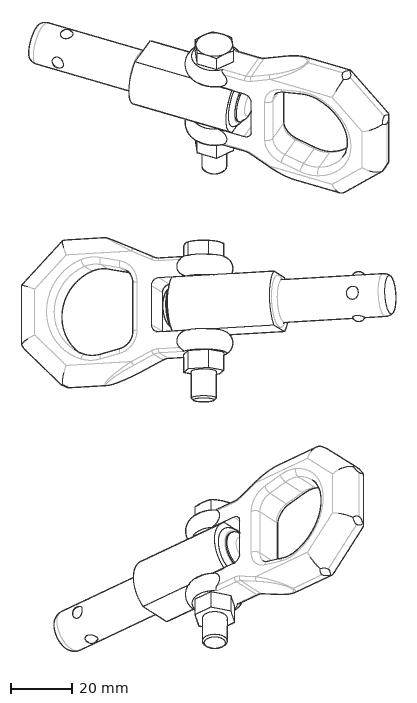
import cadquery as cq
import math

PIN_TIP_X = -63.6
SHANK_RADIUS = 7.0
TIP_ROUND_LENGTH = 2.0
TIP_ROUND_DEPTH = 0.8
BLOCK_START_X = -25.7
BLOCK_END_X = 9.0
BLOCK_DIAMETER = 21.5
BLOCK_HEIGHT = 18.0
BLOCK_HALF_HEIGHT = BLOCK_HEIGHT / 2
NECK_FILLET = 1.5
BALL_X = -52.8
BALL_RADIUS = 2.3
BALL_CENTRE_RADIUS = 6.0
COLLAR_RADIUS = 8.8
COLLAR_FACE_RADIUS = 7.2
COLLAR_LENGTH = 1.4
COLLAR_ROUND = 2.0
BUTTON_RADIUS = 6.7
BUTTON_RIM_LENGTH = 0.5
BUTTON_FACE_RADIUS = 4.1
BUTTON_DOME_LENGTH = 1.8
BUTTON_DOME_RADIUS = 3.8

PLATE_HALF_THICKNESS = 6.1
RING_CENTRE_X = 37.4
RING_APOTHEM = 24.5
RING_CREST_WIDTH = 0.03
RING_EDGE_ROUND = PLATE_HALF_THICKNESS - RING_CREST_WIDTH / 2
RING_HALF_SIDE = RING_APOTHEM * math.tan(math.pi / 8)
RING_CORNER_X = RING_CENTRE_X + RING_HALF_SIDE
RING_END_X = RING_CENTRE_X + RING_APOTHEM
RING_CORNER_CLIP = 1.5
EYE_HEIGHT = 6.8
ARM_HALF_HEIGHT = BLOCK_HALF_HEIGHT + EYE_HEIGHT
FLANK_START_X = 14.5
FLANK_ANGLE = math.radians(25)
FLANK_FILLET = 4.4
ARM_EDGE_FILLET = 1.1
SLOT_END_X = 16.0
SLOT_CORNER_RADIUS = 2.5

OPENING_WALL_X = 22.8
OPENING_CORNER_Z = 12.4
OPENING_ARC_CENTRE_X = 34.3
OPENING_ARC_RADIUS = 15.4
CROWN_X = 35.9
OPENING_CORNER_RADIUS = 5.5
CROWN_RADIUS = 10.0
OPENING_EDGE_FILLET = 2.0
OPENING_END_X = OPENING_ARC_CENTRE_X + OPENING_ARC_RADIUS

EYE_FACE_RADIUS = 7.4
EYE_BULGE_RADIUS = 9.5
BOLT_DIAMETER = 8.2
BOLT_RADIUS = BOLT_DIAMETER / 2
BOLT_END_Z = -31.2
BOLT_END_CHAMFER = 0.6
HEX_ACROSS_FLATS = 11.9
HEAD_HEIGHT = 4.9
HEAD_FACE_RADIUS = HEX_ACROSS_FLATS / 2
HEAD_CHAMFER_ANGLE = math.radians(20)
NUT_HEIGHT = 6.0

BOX_DEPTH = 12.5
BOX_MARGIN = 0.6


def along_z(radius, z_low, z_high):
    """Cylinder on the bolt axis."""
    return cq.Workplane("XY").workplane(offset=z_low).circle(radius).extrude(z_high - z_low)


def boxed(x_low, x_high, z_low, z_high, whole=False):
    """Selects what has its centre, or all of itself, in this range of X and Z."""
    return cq.selectors.BoxSelector((x_low, -BOX_DEPTH, z_low), (x_high, BOX_DEPTH, z_high), whole)


def pin_shank():
    """Shank turned about X, with a rounded tip and a flared neck at the block."""
    tip_arc_radius = (TIP_ROUND_LENGTH**2 + TIP_ROUND_DEPTH**2) / (2 * TIP_ROUND_DEPTH)
    return (
        cq.Workplane("XY")
        .moveTo(PIN_TIP_X, 0)
        .lineTo(PIN_TIP_X, SHANK_RADIUS - TIP_ROUND_DEPTH)
        .radiusArc((PIN_TIP_X + TIP_ROUND_LENGTH, SHANK_RADIUS), tip_arc_radius)
        .lineTo(BLOCK_START_X - NECK_FILLET, SHANK_RADIUS)
        .radiusArc((BLOCK_START_X, SHANK_RADIUS + NECK_FILLET), -NECK_FILLET)
        .lineTo(BLOCK_START_X, 0)
        .close()
        .revolve(360, (0, 0, 0), (1, 0, 0))
    )


def pin_block():
    """Round block with flats facing the two eyes of the shackle."""
    length = BLOCK_END_X - BLOCK_START_X
    cylinder = cq.Workplane("YZ").workplane(offset=BLOCK_START_X).circle(BLOCK_DIAMETER / 2).extrude(length)
    flats = (
        cq.Workplane("YZ")
        .workplane(offset=BLOCK_START_X)
        .rect(BLOCK_DIAMETER, BLOCK_HEIGHT)
        .extrude(length)
    )
    return cylinder.intersect(flats)


def pin_button():
    """Rounded collar and domed release button on the end of the block."""
    collar_face_x = BLOCK_END_X + COLLAR_LENGTH
    rim_x = collar_face_x + BUTTON_RIM_LENGTH
    button_face_x = rim_x + BUTTON_DOME_LENGTH
    return (
        cq.Workplane("XY")
        .moveTo(BLOCK_END_X, 0)
        .lineTo(BLOCK_END_X, COLLAR_RADIUS)
        .radiusArc((collar_face_x, COLLAR_FACE_RADIUS), COLLAR_ROUND)
        .lineTo(collar_face_x, BUTTON_RADIUS)
        .lineTo(rim_x, BUTTON_RADIUS)
        .radiusArc((button_face_x, BUTTON_FACE_RADIUS), BUTTON_DOME_RADIUS)
        .lineTo(button_face_x, 0)
        .close()
        .revolve(360, (0, 0, 0), (1, 0, 0))
    )


def locking_balls():
    """Four balls around the shank, part of the pin body."""
    ball = cq.Workplane("XY").sphere(BALL_RADIUS).translate((BALL_X, 0, BALL_CENTRE_RADIUS))
    balls = ball
    for turn in (90, 180, 270):
        balls = balls.union(ball.rotate((0, 0, 0), (1, 0, 0), turn))
    return balls


def make_pin():
    body = pin_shank().union(pin_block()).union(pin_button()).union(locking_balls())
    return body.cut(along_z(BOLT_RADIUS, -BLOCK_HALF_HEIGHT, BLOCK_HALF_HEIGHT))


def plate(points):
    """Plate of the shackle thickness whose upper outline is given and mirrored to -Z."""
    lower = [(x, -z) for x, z in reversed(points)]
    outline = cq.Workplane("XZ").polyline(points + lower).close()
    return outline.extrude(PLATE_HALF_THICKNESS, both=True)


def rounded_octagon():
    """Octagonal ring blank with half-round edges, its straight sides running back to the bolt."""
    blank = plate([(0, RING_APOTHEM), (RING_CORNER_X, RING_APOTHEM), (RING_END_X, RING_HALF_SIDE)])
    return blank.faces("<Y or >Y").edges("not <X").fillet(RING_EDGE_ROUND)


def outline_plate():
    """Arms, sloping flanks and clipped ring corners."""
    clip_diagonal = RING_CORNER_CLIP * math.sqrt(0.5)
    flank_end_x = FLANK_START_X + (RING_APOTHEM - ARM_HALF_HEIGHT) / math.tan(FLANK_ANGLE)
    body = plate(
        [
            (0, ARM_HALF_HEIGHT),
            (FLANK_START_X, ARM_HALF_HEIGHT),
            (flank_end_x, RING_APOTHEM),
            (RING_CORNER_X - RING_CORNER_CLIP, RING_APOTHEM),
            (RING_CORNER_X + clip_diagonal, RING_APOTHEM - clip_diagonal),
            (RING_END_X - clip_diagonal, RING_HALF_SIDE + clip_diagonal),
            (RING_END_X, RING_HALF_SIDE - RING_CORNER_CLIP),
        ]
    )
    kinks = boxed(FLANK_START_X - BOX_MARGIN, FLANK_START_X + BOX_MARGIN, -RING_APOTHEM, RING_APOTHEM)
    return body.edges(kinks).fillet(FLANK_FILLET)


def ring_opening():
    """D-shaped hole: flat wall, two slanted sides and a round far end."""
    crown_z = math.sqrt(OPENING_ARC_RADIUS**2 - (CROWN_X - OPENING_ARC_CENTRE_X) ** 2)
    crowns = boxed(CROWN_X - BOX_MARGIN, CROWN_X + BOX_MARGIN, -RING_APOTHEM, RING_APOTHEM)
    return (
        cq.Workplane("XZ")
        .moveTo(OPENING_WALL_X, -OPENING_CORNER_Z)
        .lineTo(OPENING_WALL_X, OPENING_CORNER_Z)
        .lineTo(CROWN_X, crown_z)
        .threePointArc((OPENING_END_X, 0), (CROWN_X, -crown_z))
        .close()
        .extrude(PLATE_HALF_THICKNESS, both=True)
        .edges("|Y and <X")
        .fillet(OPENING_CORNER_RADIUS)
        .edges(crowns)
        .fillet(CROWN_RADIUS)
    )


def arm_slot():
    """Gap between the arms that takes the block of the pin."""
    slot = cq.Workplane("XY").box(2 * SLOT_END_X, 2 * PLATE_HALF_THICKNESS, BLOCK_HEIGHT)
    return slot.edges("|Y").fillet(SLOT_CORNER_RADIUS)


def shackle_plate():
    body = rounded_octagon().intersect(outline_plate())
    flank_low_z = ARM_HALF_HEIGHT - BOX_MARGIN
    upper_flank = boxed(BOX_MARGIN, RING_CENTRE_X - BOX_MARGIN, flank_low_z, RING_APOTHEM - BOX_MARGIN)
    lower_flank = boxed(BOX_MARGIN, RING_CENTRE_X - BOX_MARGIN, BOX_MARGIN - RING_APOTHEM, -flank_low_z)
    body = body.faces(upper_flank + lower_flank).edges("not |Y").fillet(ARM_EDGE_FILLET)
    body = body.cut(ring_opening())
    rim_half_height = OPENING_ARC_RADIUS + BOX_MARGIN
    rim = boxed(
        OPENING_WALL_X - BOX_MARGIN, OPENING_END_X + BOX_MARGIN, -rim_half_height, rim_half_height, whole=True
    )
    body = body.faces("<Y or >Y").edges(rim).fillet(OPENING_EDGE_FILLET)
    return body.cut(arm_slot())


def eye(z_low):
    """Barrel-shaped eye at the end of an arm."""
    return (
        cq.Workplane("XZ")
        .moveTo(0, z_low)
        .lineTo(EYE_FACE_RADIUS, z_low)
        .threePointArc((EYE_BULGE_RADIUS, z_low + EYE_HEIGHT / 2), (EYE_FACE_RADIUS, z_low + EYE_HEIGHT))
        .lineTo(0, z_low + EYE_HEIGHT)
        .close()
        .revolve(360, (0, 0, 0), (0, 1, 0))
    )


def hexagon(z_low, height):
    """Hexagonal prism with two corners on the X axis."""
    across_corners = HEX_ACROSS_FLATS / math.cos(math.pi / 6)
    return cq.Workplane("XY").workplane(offset=z_low).polygon(6, across_corners).extrude(height)


def bolt_head():
    """Hexagon head with its top corners turned to a cone."""
    top_z = ARM_HALF_HEIGHT + HEAD_HEIGHT
    base_radius = HEAD_FACE_RADIUS + HEAD_HEIGHT / math.tan(HEAD_CHAMFER_ANGLE)
    cone = (
        cq.Workplane("XZ")
        .polyline(
            [(0, ARM_HALF_HEIGHT), (base_radius, ARM_HALF_HEIGHT), (HEAD_FACE_RADIUS, top_z), (0, top_z)]
        )
        .close()
        .revolve(360, (0, 0, 0), (0, 1, 0))
    )
    return hexagon(ARM_HALF_HEIGHT, HEAD_HEIGHT).intersect(cone)


def make_shackle():
    """Shackle in one piece with its eyes, bolt, bolt head and nut."""
    body = shackle_plate()
    for z_low in (BLOCK_HALF_HEIGHT, -ARM_HALF_HEIGHT):
        body = body.union(eye(z_low))
    rod = along_z(BOLT_RADIUS, BOLT_END_Z, ARM_HALF_HEIGHT).faces("<Z").chamfer(BOLT_END_CHAMFER)
    nut = hexagon(-ARM_HALF_HEIGHT - NUT_HEIGHT, NUT_HEIGHT)
    return body.union(bolt_head()).union(nut).union(rod)


pin = make_pin()
shackle = make_shackle()

result = cq.Compound.makeCompound([pin.val(), shackle.val()])